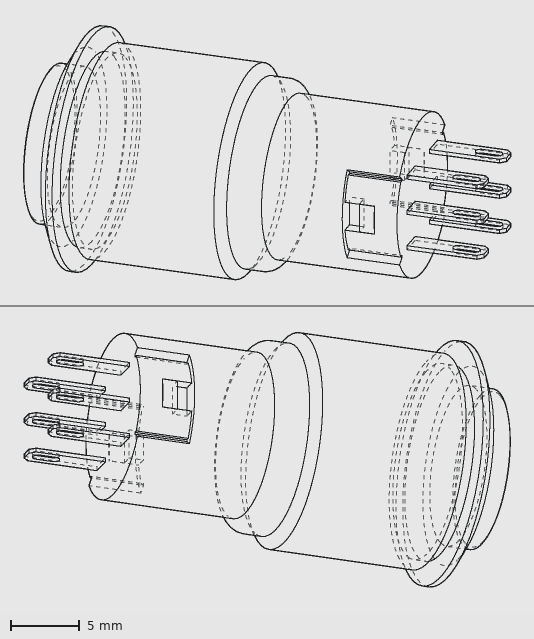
import cadquery as cq
import math

flange_front = 1.9
flange_rim_start = 2.82
flange_back = 3.35
body_start = 4.25
body_taper_start = 15.38
collar_start = 16.05
collar_end = 18.4
recess_start = 24.6
housing_end = 28.62
pin_tip = 34.4

button_radius = 11.8 / 2
flange_face_radius = 14.62 / 2
flange_radius = 18.0 / 2
neck_radius = 14.38 / 2
body_radius = 15.9 / 2
collar_radius = 14.17 / 2
housing_radius = 12.2 / 2

button_chamfer_length = 0.1
button_chamfer_height = 0.2
dish_radius = 5.47
dish_depth = 0.4

recess_half_height = 3.47
recess_floor_y = 4.47

tab_radius = 5.6
tab_half_height = 2.95
latch_width = 2.2
lug_start = 25.7
lug_end = 26.85
lug_face_y = 5.47

pin_width = 1.8
pin_thickness = 0.3
pin_chamfer = 0.4
pin_offset_y = 2.48
pin_pitch_z = 2.8
pin_slot_length = 2.05
pin_slot_width = 0.8
pin_slot_center = 32.9


def turned_body():
    """Button, flange, neck, body, collar and rear housing in one revolved profile."""
    collar_round = collar_radius - housing_radius
    round_start = collar_end - collar_round
    round_middle = (
        round_start + collar_round * math.sin(math.radians(45)),
        housing_radius + collar_round * math.cos(math.radians(45)),
    )
    dish_sphere_radius = (dish_radius**2 + dish_depth**2) / (2 * dish_depth)
    half_dish_radius = dish_radius / 2
    half_dish_depth = dish_depth - dish_sphere_radius + math.sqrt(dish_sphere_radius**2 - half_dish_radius**2)
    profile = (
        cq.Workplane("XY")
        .moveTo(dish_depth, 0)
        .threePointArc((half_dish_depth, half_dish_radius), (0, dish_radius))
        .lineTo(0, button_radius - button_chamfer_height)
        .lineTo(button_chamfer_length, button_radius)
        .lineTo(flange_front, button_radius)
        .lineTo(flange_front, flange_face_radius)
        .lineTo(flange_rim_start, flange_radius)
        .lineTo(flange_back, flange_radius)
        .lineTo(flange_back, neck_radius)
        .lineTo(body_start, neck_radius)
        .lineTo(body_start, body_radius)
        .lineTo(body_taper_start, body_radius)
        .lineTo(collar_start, collar_radius)
        .lineTo(round_start, collar_radius)
        .threePointArc(round_middle, (collar_end, housing_radius))
        .lineTo(housing_end, housing_radius)
        .lineTo(housing_end, 0)
        .close()
    )
    return profile.revolve(360, (0, 0, 0), (1, 0, 0))


def side_recess():
    """Cutter for the -Y recess: radial side walls down to a flat floor."""
    wall_edge_y = math.sqrt(housing_radius**2 - recess_half_height**2)
    wall_slope = recess_half_height / wall_edge_y
    outer_y = body_radius
    return (
        cq.Workplane("YZ", origin=(recess_start, 0, 0))
        .moveTo(-recess_floor_y, -recess_floor_y * wall_slope)
        .lineTo(-outer_y, -outer_y * wall_slope)
        .lineTo(-outer_y, outer_y * wall_slope)
        .lineTo(-recess_floor_y, recess_floor_y * wall_slope)
        .close()
        .extrude(housing_end - recess_start)
    )


def latch_tab():
    """Round-faced tab on the -Y recess floor, with a pocket partly filled by a flat lug."""
    tab_edge_y = math.sqrt(tab_radius**2 - tab_half_height**2)
    tab = (
        cq.Workplane("YZ", origin=(recess_start, 0, 0))
        .moveTo(-recess_floor_y, -tab_half_height)
        .lineTo(-tab_edge_y, -tab_half_height)
        .threePointArc((-tab_radius, 0), (-tab_edge_y, tab_half_height))
        .lineTo(-recess_floor_y, tab_half_height)
        .close()
        .extrude(housing_end - recess_start)
    )
    pocket = latch_block(recess_start, lug_end, tab_radius)
    lug = latch_block(lug_start, lug_end, lug_face_y)
    return tab.cut(pocket).union(lug)


def latch_block(start_x, end_x, face_y):
    """Block of the latch width, from the -Y recess floor out to face_y."""
    return (
        cq.Workplane("XY")
        .box(end_x - start_x, face_y - recess_floor_y, latch_width, centered=(False, False, True))
        .translate((start_x, -face_y, 0))
    )


def solder_pin(y, z):
    """Flat pin with a chamfered tip and a slotted eye."""
    pin_length = pin_tip - housing_end
    blade = (
        cq.Workplane("XY")
        .box(pin_length, pin_width, pin_thickness, centered=(False, True, True))
        .translate((housing_end, 0, 0))
        .edges("|Z and >X")
        .chamfer(pin_chamfer)
    )
    eye = (
        cq.Workplane("XY")
        .center(pin_slot_center, 0)
        .slot2D(pin_slot_length, pin_slot_width)
        .extrude(pin_thickness, both=True)
    )
    return blade.cut(eye).translate((0, y, z))


result = turned_body()

for turn in (0, 180):
    result = result.cut(side_recess().rotate((0, 0, 0), (1, 0, 0), turn))
    result = result.union(latch_tab().rotate((0, 0, 0), (1, 0, 0), turn))

for y in (-pin_offset_y, pin_offset_y):
    for z in (-pin_pitch_z, 0, pin_pitch_z):
        result = result.union(solder_pin(y, z))